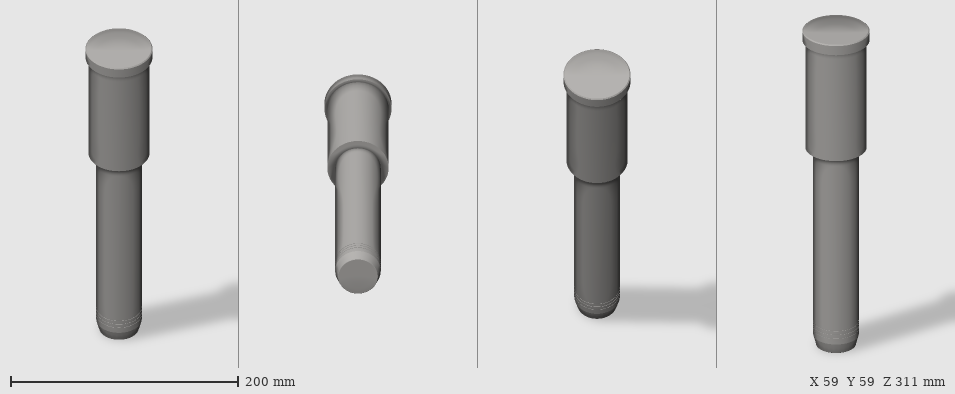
import cadquery as cq

total_length = 311.0
head_diameter = 59.0
head_thickness = 10.0
head_edge_chamfer = 1.0
sleeve_diameter = 54.0
sleeve_end_height = 195.0
shaft_diameter = 40.0

relief_width = 1.0
relief_depth = 0.3

nose_length = 10.0
nose_end_diameter = 34.8
nose_edge_chamfer = 0.3

groove_count = 3
groove_width = 1.0
groove_depth = 0.3
groove_pitch = 3.7
first_groove_height = 15.5

head_bottom = total_length - head_thickness


def cylinder(diameter, bottom, top):
    """Solid cylinder on the Z axis between two heights."""
    return cq.Workplane("XY").workplane(offset=bottom).circle(diameter / 2).extrude(top - bottom)


def ring_cutter(diameter, bottom, width, depth):
    """Ring that cuts a square groove into a cylinder of the given diameter."""
    outer = cylinder(diameter + 2 * depth, bottom, bottom + width)
    return outer.cut(cylinder(diameter - 2 * depth, bottom, bottom + width))


head = cylinder(head_diameter, head_bottom, total_length).faces(">Z").chamfer(head_edge_chamfer)
sleeve = cylinder(sleeve_diameter, sleeve_end_height, head_bottom)
sleeve = sleeve.cut(
    ring_cutter(sleeve_diameter, head_bottom - relief_width, relief_width, relief_depth)
)

shaft = cylinder(shaft_diameter, nose_length, sleeve_end_height)
shaft = shaft.cut(
    ring_cutter(shaft_diameter, sleeve_end_height - relief_width, relief_width, relief_depth)
)
for index in range(groove_count):
    groove_bottom = first_groove_height + index * groove_pitch
    shaft = shaft.cut(ring_cutter(shaft_diameter, groove_bottom, groove_width, groove_depth))

nose = (
    cq.Workplane("XY")
    .circle(nose_end_diameter / 2)
    .workplane(offset=nose_length)
    .circle(shaft_diameter / 2)
    .loft(ruled=True)
    .faces("<Z")
    .chamfer(nose_edge_chamfer)
)

result = head.union(sleeve).union(shaft).union(nose)